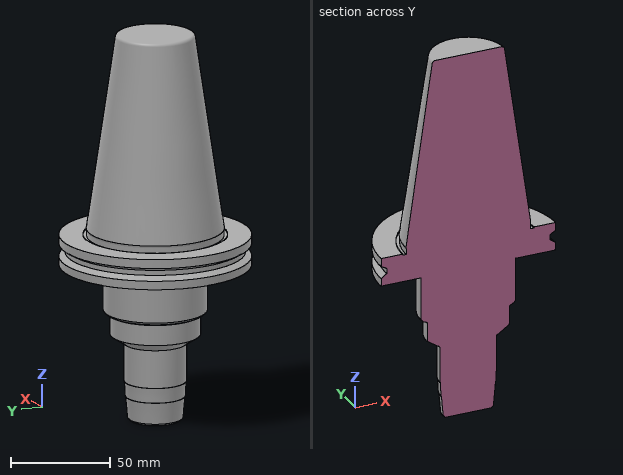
import cadquery as cq

total_height = 201.8
taper_length = 101.7
gauge_z = total_height - taper_length

gauge_radius = 35.0
taper_radius_slope = 7 / 48
taper_top_radius = gauge_radius - taper_length * taper_radius_slope
taper_top_fillet = 2.0

collar_height = 3.2
collar_radius = 34.7
relief_height = 1.2

recess_radius = 36.5
recess_depth = 0.6

flange_radius = 97.5 / 2
flange_top_z = gauge_z - collar_height
flange_bottom_z = 81.1
groove_top_z = 92.2
groove_bottom_z = 85.5
groove_floor_radius = 45.5
groove_floor_top_z = 90.4
groove_floor_bottom_z = 87.8

body_radius = 26.5
body_bottom_z = 57.5
body_chamfer = 1.2
neck_radius = 23.0
neck_top_z = 55.3
neck_bottom_z = 44.8
shank_radius = 16.0
shank_top_z = 40.1

nose_top_z = 20.4
nose_top_radius = 15.7
nose_step_z = 12.5
nose_step_upper_radius = 15.3
nose_step_lower_radius = 15.1
nose_bottom_radius = 14.1
nose_chamfer = 1.2

profile = [
    (0, 0),
    (nose_bottom_radius - nose_chamfer, 0),
    (nose_bottom_radius, nose_chamfer),
    (nose_step_lower_radius, nose_step_z),
    (nose_step_upper_radius, nose_step_z),
    (nose_top_radius, nose_top_z),
    (shank_radius, nose_top_z),
    (shank_radius, shank_top_z),
    (neck_radius, neck_bottom_z),
    (neck_radius, neck_top_z),
    (body_radius - body_chamfer, body_bottom_z - body_chamfer),
    (body_radius, body_bottom_z),
    (body_radius, flange_bottom_z),
    (flange_radius, flange_bottom_z),
    (flange_radius, groove_bottom_z),
    (groove_floor_radius, groove_floor_bottom_z),
    (groove_floor_radius, groove_floor_top_z),
    (flange_radius, groove_top_z),
    (flange_radius, flange_top_z),
    (recess_radius, flange_top_z),
    (recess_radius, flange_top_z - recess_depth),
    (collar_radius, flange_top_z - recess_depth),
    (collar_radius, gauge_z - relief_height),
    (gauge_radius, gauge_z),
    (taper_top_radius, total_height),
    (0, total_height),
]

body = cq.Workplane("XZ").polyline(profile).close().revolve(360, (0, 0, 0), (0, 1, 0))
result = body.faces(">Z").edges().fillet(taper_top_fillet)